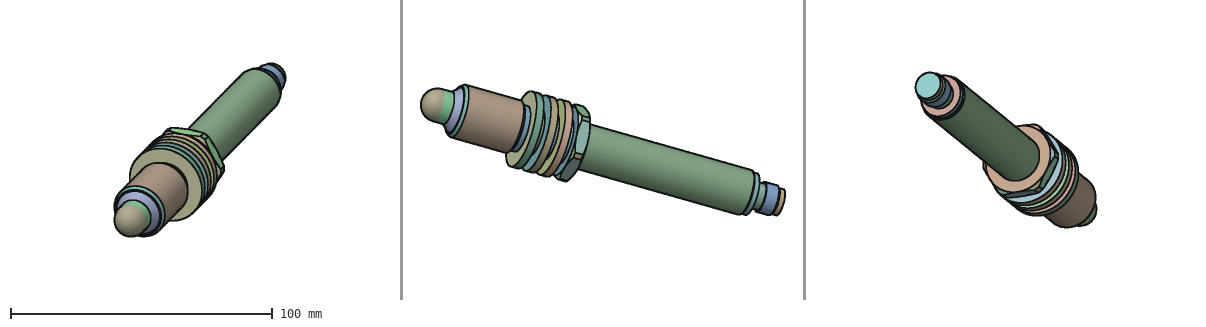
import cadquery as cq
import math


tip_dia = 12.92
tip_shank_end = 10.7
cone_end = 13.6
cone_dia = 17.9

sleeve_dia = 21.0
sleeve_nose_dia = 19.0
sleeve_start = 15.0
sleeve_end = 37.8
sleeve_back_chamfer = 1.2

neck_dia = 18.25
fin_dia = 30.0
fin_thickness = 3.0
fin_gap = 3.0
fin_count = 3
first_fin = 41.2
neck_start = sleeve_end + sleeve_back_chamfer
fin_pitch = fin_thickness + fin_gap

hex_start = first_fin + fin_count * fin_pitch
hex_thickness = 5.0
hex_end = hex_start + hex_thickness
hex_flats = 27.0
hex_corner_dia = fin_dia
hex_bevel_angle = 30.0

tube_dia = 17.9
tube_end = 134.7
tube_chamfer = 0.5

cap_dia = 16.6
cap_end = 136.8
plug_core_dia = 10.5
plug_thread_dia = 12.0
thread_start = 140.75
thread_end = 146.55
total_length = 148.7
thread_chamfer = (plug_thread_dia - plug_core_dia) / 2


def cylinder(diameter, start, end):
    """Round bar on the Y axis between two places."""
    return cq.Workplane("XZ", origin=(0, start, 0)).circle(diameter / 2).extrude(start - end)


def make_front():
    """Dome, shank, cone and chamfered sleeve, turned about the Y axis."""
    tip_radius = tip_dia / 2
    arc_mid = tip_radius * math.sqrt(0.5)
    return (
        cq.Workplane("XY")
        .moveTo(0, 0)
        .threePointArc((arc_mid, tip_radius - arc_mid), (tip_radius, tip_radius))
        .lineTo(tip_radius, tip_shank_end)
        .lineTo(cone_dia / 2, cone_end)
        .lineTo(sleeve_nose_dia / 2, cone_end)
        .lineTo(sleeve_dia / 2, sleeve_start)
        .lineTo(sleeve_dia / 2, sleeve_end)
        .lineTo(neck_dia / 2, neck_start)
        .lineTo(0, neck_start)
        .close()
        .revolve(360, (0, 0, 0), (0, 1, 0))
    )


def make_hex():
    """Hexagon with its corners on the X axis, turned round and bevelled at both ends."""
    prism = (
        cq.Workplane("XZ", origin=(0, hex_start, 0))
        .polygon(6, hex_flats / math.cos(math.pi / 6))
        .extrude(-hex_thickness)
    )
    bevel_width = (hex_corner_dia - hex_flats) / 2
    bevel_length = bevel_width * math.tan(math.radians(hex_bevel_angle))
    blank = cylinder(hex_corner_dia, hex_start, hex_end)
    return prism.intersect(blank.faces("<Y or >Y").chamfer(bevel_length, bevel_width))


def make_housing():
    housing = make_front()
    housing = housing.union(cylinder(neck_dia, neck_start, hex_start))
    for index in range(fin_count):
        fin_start = first_fin + index * fin_pitch
        housing = housing.union(cylinder(fin_dia, fin_start, fin_start + fin_thickness))
    housing = housing.union(make_hex())
    tube = cylinder(tube_dia, hex_end, tube_end).faces(">Y").chamfer(tube_chamfer)
    return housing.union(tube)


def make_connector():
    """Cap seated on the tube end, with a threaded plug behind it."""
    cap = cylinder(cap_dia, tube_end, cap_end)
    plug = cylinder(plug_core_dia, cap_end, total_length)
    thread = cylinder(plug_thread_dia, thread_start, thread_end)
    thread = thread.faces(">Y").chamfer(thread_chamfer)
    return cap.union(plug).union(thread)


housing = make_housing()
connector = make_connector()

result = cq.Compound.makeCompound([housing.val(), connector.val()])